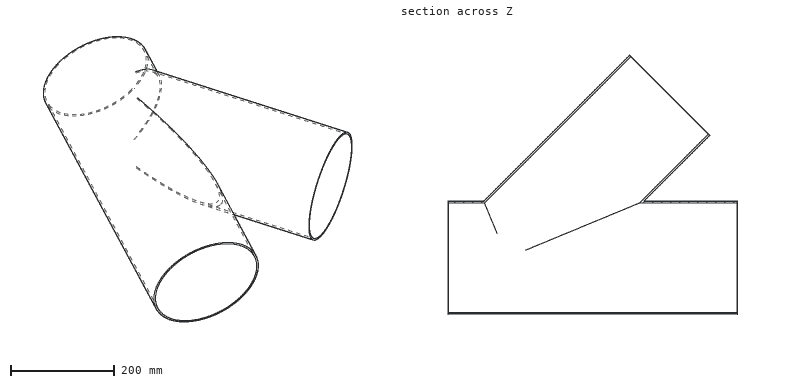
import cadquery as cq
import math

run_length = 559.0
outer_diameter = 219.0
bore_diameter = 212.0
branch_angle = 45.0
branch_length = 444.0
junction_x = 114.0

branch_direction = cq.Vector(
    math.cos(math.radians(branch_angle)),
    math.sin(math.radians(branch_angle)),
    0,
)


def run_cylinder(diameter):
    """Straight cylinder along X, starting at the origin."""
    return cq.Workplane("YZ").circle(diameter / 2).extrude(run_length)


def branch_cylinder(diameter):
    """Slanted cylinder from the axis crossing to the open branch end."""
    plane = cq.Plane(origin=(junction_x, 0, 0), xDir=(0, 0, 1), normal=branch_direction)
    return cq.Workplane(plane).circle(diameter / 2).extrude(branch_length)


def wye(diameter):
    """Run and branch of one diameter joined together."""
    return run_cylinder(diameter).union(branch_cylinder(diameter))


result = wye(outer_diameter).cut(wye(bore_diameter))